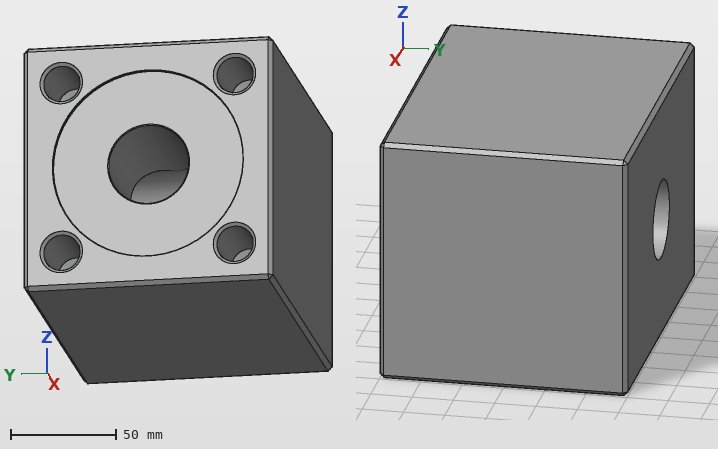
import cadquery as cq

length = 160.0
side = 120.0
edge_chamfer = 2.0

seat_diameter = 91.7
seat_rim_diameter = 92.2
seat_depth = 2.0
bore_diameter = 38.5
bore_lead_in = 0.5

cross_bore_diameter = bore_diameter
cross_bore_end_y = -24.0
cross_bore_axis_depth = length / 2

bolt_spacing = 83.5
bolt_diameter = 17.5
bolt_mouth_diameter = 20.5
bolt_depth = 40.0
drill_tip_height = 5.3

end_x = -length / 2


def end_cylinder(diameter, depth, y=0, z=0):
    """Cylinder running along +X from the -X end face."""
    start = cq.Vector(end_x, y, z)
    return cq.Solid.makeCylinder(diameter / 2, depth, start, cq.Vector(1, 0, 0))


def cone_along_x(start_diameter, end_diameter, height, x, y=0, z=0):
    """Cone running along +X from the given point."""
    start = cq.Vector(x, y, z)
    return cq.Solid.makeCone(start_diameter / 2, end_diameter / 2, height, start, cq.Vector(1, 0, 0))


def cut_seat_and_bore(body):
    lead_in = cone_along_x(bore_diameter + 2 * bore_lead_in, bore_diameter, bore_lead_in, end_x + seat_depth)
    cross_start = cq.Vector(end_x + cross_bore_axis_depth, cross_bore_end_y, 0)
    cross_length = side / 2 - cross_bore_end_y
    cross_bore = cq.Solid.makeCylinder(cross_bore_diameter / 2, cross_length, cross_start, cq.Vector(0, 1, 0))
    rim_depth = (seat_rim_diameter - seat_diameter) / 2
    rim = cone_along_x(seat_rim_diameter, seat_diameter, rim_depth, end_x)
    body = body.cut(end_cylinder(seat_diameter, seat_depth)).cut(rim)
    body = body.cut(end_cylinder(bore_diameter, cross_bore_axis_depth))
    return body.cut(lead_in).cut(cross_bore)


def cut_bolt_hole(body, y, z):
    mouth_depth = (bolt_mouth_diameter - bolt_diameter) / 2
    mouth = cone_along_x(bolt_mouth_diameter, bolt_diameter, mouth_depth, end_x, y, z)
    tip = cone_along_x(bolt_diameter, 0, drill_tip_height, end_x + bolt_depth, y, z)
    return body.cut(end_cylinder(bolt_diameter, bolt_depth, y, z)).cut(mouth).cut(tip)


block = cq.Workplane("XY").box(length, side, side).edges().chamfer(edge_chamfer)
block = cut_seat_and_bore(block)

for y_sign in (-1, 1):
    for z_sign in (-1, 1):
        block = cut_bolt_hole(block, y_sign * bolt_spacing / 2, z_sign * bolt_spacing / 2)

result = block